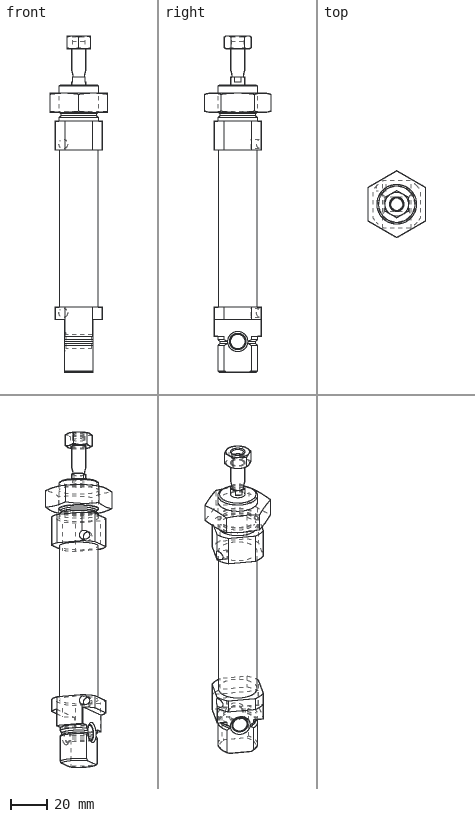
import cadquery as cq
import math

overall_height = 185.7
barrel_bottom = 36.0
barrel_top = 122.8
front_cap_top = 138.7
front_thread_top = 158.8

barrel_diameter = 21.4
thread_diameter = 22.0
thread_chamfer_diameter = 20.0
front_chamfer_height = 0.7
rear_chamfer_height = 1.0
cap_diameter = 30.0
cap_width = 26.0

relief_diameter = 19.7
relief_height = 3.3
front_relief_bottom = 140.6
rear_relief_bottom = 14.9

rear_cap_bottom = 29.2
tongue_width = 16.0
tongue_shoulder = 19.9

pivot_diameter = 8.0
pivot_seat_diameter = 9.1
pivot_chamfer_diameter = 11.1
pivot_height = 17.0

port_diameter = 5.0
port_depth = 5.5
port_offset = -8.5
port_heights = (32.9, 126.1)

mounting_nut_corners = 37.0
mounting_nut_bottom = 143.5
mounting_nut_height = 10.5
mounting_nut_chamfer_angle = 15.0

rod_diameter = 8.0
rod_flat_width = 7.0
rod_flat_bottom = 160.3
rod_groove_diameter = 6.5
rod_groove_bottom = 163.0
rod_groove_top = 164.2
rod_thread_bottom = 167.2
rod_tip_diameter = 6.9
rod_tip_top = 182.5

rod_nut_corners = 15.0
rod_nut_height = 7.0
rod_nut_chamfer_angle = 30.0
rod_nut_bottom = overall_height - rod_nut_height


def cylinder(diameter, bottom, top):
    """Upright cylinder on the Z axis between two heights."""
    return cq.Workplane("XY").workplane(offset=bottom).circle(diameter / 2).extrude(top - bottom)


def turned(profile):
    """Solid of revolution about Z from (diameter, height) points listed upwards."""
    points = [(diameter / 2, height) for diameter, height in profile]
    outline = [(0, points[0][1])] + points + [(0, points[-1][1])]
    return cq.Workplane("XZ").polyline(outline).close().revolve(360, (0, 0), (0, 1))


def slab(x_width, y_width, bottom, top):
    """Upright rectangular block on the Z axis between two heights."""
    return cq.Workplane("XY").workplane(offset=bottom).rect(x_width, y_width).extrude(top - bottom)


def hexagon_nut(corner_diameter, bottom, height, chamfer_angle):
    """Hexagon with two flats facing X and its corners turned down at both ends."""
    width = corner_diameter * math.cos(math.radians(30))
    corner_drop = (corner_diameter - width) / 2 * math.tan(math.radians(chamfer_angle))
    top = bottom + height
    hexagon = (
        cq.Workplane("XY")
        .workplane(offset=bottom)
        .transformed(rotate=(0, 0, 90))
        .polygon(6, corner_diameter)
        .extrude(height)
    )
    envelope = turned([
        (width, bottom),
        (corner_diameter, bottom + corner_drop),
        (corner_diameter, top - corner_drop),
        (width, top),
    ])
    return hexagon.intersect(envelope)


def cap_blank(bottom, top):
    """Round bar with four flats."""
    return cylinder(cap_diameter, bottom, top).intersect(slab(cap_width, cap_width, bottom, top))


def relief_groove(bottom):
    """Ring cutter with 45 degree flanks and a flat floor."""
    thread_radius = thread_diameter / 2
    floor_radius = relief_diameter / 2
    flank = thread_radius - floor_radius
    top = bottom + relief_height
    outline = [
        (thread_radius, bottom),
        (floor_radius, bottom + flank),
        (floor_radius, top - flank),
        (thread_radius, top),
        (cap_diameter / 2, top),
        (cap_diameter / 2, bottom),
    ]
    return cq.Workplane("XZ").polyline(outline).close().revolve(360, (0, 0), (0, 1))


def front_thread():
    """Turned spigot with a relief next to the front cap and a chamfered end."""
    spigot = turned([
        (thread_diameter, front_cap_top),
        (thread_diameter, front_thread_top - front_chamfer_height),
        (thread_chamfer_diameter, front_thread_top),
    ])
    return spigot.cut(relief_groove(front_relief_bottom))


def rear_tongue():
    """Flattened rear end: a shoulder of cap section above a turned, relieved stub."""
    stub = turned([
        (thread_chamfer_diameter, 0),
        (thread_diameter, rear_chamfer_height),
        (thread_diameter, tongue_shoulder),
    ])
    stub = stub.cut(relief_groove(rear_relief_bottom))
    shoulder = cap_blank(tongue_shoulder, rear_cap_bottom)
    return stub.union(shoulder).intersect(slab(tongue_width, cap_width, 0, rear_cap_bottom))


def pivot_eye():
    """Cutter for the cross hole along X, with a countersunk seat at both faces of the tongue."""
    face = tongue_width / 2
    hole_radius = pivot_diameter / 2
    seat_radius = pivot_seat_diameter / 2
    chamfer_radius = pivot_chamfer_diameter / 2
    seat = face - (chamfer_radius - seat_radius)
    outline = [
        (-face, 0),
        (-face, chamfer_radius),
        (-seat, seat_radius),
        (-seat, hole_radius),
        (seat, hole_radius),
        (seat, seat_radius),
        (face, chamfer_radius),
        (face, 0),
    ]
    cutter = cq.Workplane("XZ").polyline(outline).close().revolve(360, (0, 0), (1, 0))
    return cutter.translate((0, 0, pivot_height))


def air_port(height):
    """Cutter for a blind hole entering from the +Y flat."""
    return (
        cq.Workplane("XZ", origin=(port_offset, cap_width / 2, height))
        .circle(port_diameter / 2)
        .extrude(port_depth)
    )


def make_cylinder_body():
    body = (
        cylinder(barrel_diameter, barrel_bottom, barrel_top)
        .union(cap_blank(barrel_top, front_cap_top))
        .union(front_thread())
        .union(cap_blank(rear_cap_bottom, barrel_bottom))
        .union(rear_tongue())
        .cut(pivot_eye())
    )
    for height in port_heights:
        body = body.cut(air_port(height))
    return body


def make_mounting_nut():
    nut = hexagon_nut(
        mounting_nut_corners, mounting_nut_bottom, mounting_nut_height, mounting_nut_chamfer_angle
    )
    return nut.cut(cylinder(thread_diameter, mounting_nut_bottom, mounting_nut_bottom + mounting_nut_height))


def make_piston_rod():
    """Rod standing on the front thread, with wrench flats, a groove and a tip inside the rod nut."""
    rod = turned([
        (rod_diameter, front_thread_top),
        (rod_diameter, rod_groove_bottom),
        (rod_groove_diameter, rod_groove_bottom),
        (rod_groove_diameter, rod_groove_top),
        (rod_diameter, rod_thread_bottom),
        (rod_diameter, rod_nut_bottom),
        (rod_tip_diameter, rod_nut_bottom),
        (rod_tip_diameter, rod_tip_top),
    ])
    ring = slab(rod_diameter, rod_diameter, rod_flat_bottom, rod_groove_bottom)
    flats = ring.cut(slab(rod_flat_width, rod_diameter, rod_flat_bottom, rod_groove_bottom))
    return rod.cut(flats)


def make_rod_nut():
    """Hexagon nut with a countersunk bore that stands proud of the rod tip."""
    countersink_depth = (rod_diameter - rod_tip_diameter) / 2
    bore = turned([
        (rod_tip_diameter, rod_nut_bottom),
        (rod_tip_diameter, overall_height - countersink_depth),
        (rod_diameter, overall_height),
    ])
    return hexagon_nut(rod_nut_corners, rod_nut_bottom, rod_nut_height, rod_nut_chamfer_angle).cut(bore)


cylinder_body = make_cylinder_body()
mounting_nut = make_mounting_nut()
piston_rod = make_piston_rod()
rod_nut = make_rod_nut()

result = cq.Compound.makeCompound([
    cylinder_body.solids().val(),
    mounting_nut.solids().val(),
    piston_rod.solids().val(),
    rod_nut.solids().val(),
])